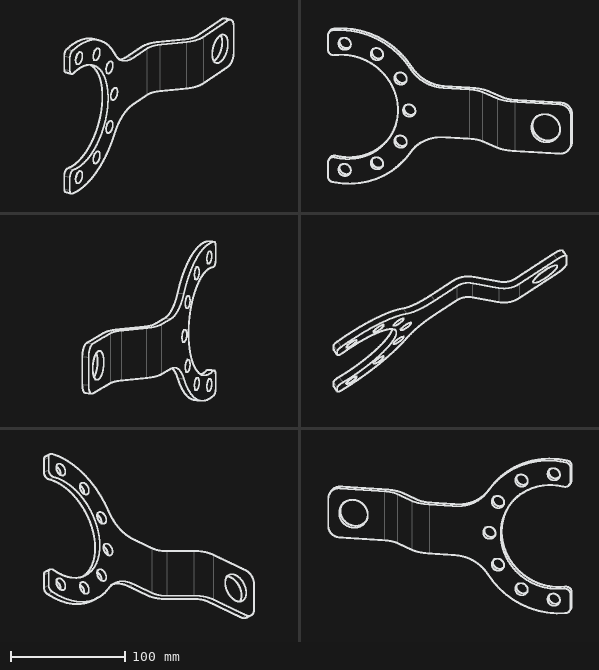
import cadquery as cq
import math

thickness = 6.0
total_width = 35.0
bend_angle = 45.0
inner_bend_radius = 18.0
outer_bend_radius = inner_bend_radius + thickness

ring_outer_radius = 70.0
ring_inner_radius = 47.5
fork_tip_reach = 15.0
fork_corner_radius = 5.0
bolt_circle_radius = 57.5
bolt_hole_diameter = 11.0
bolt_hole_count = 7
bolt_hole_spacing = 30.0

total_length = 222.5
arm_width = 45.0
arm_corner_radius = 10.0
neck_radius = 35.0
flat_end_length = 50.0
end_hole_diameter = 25.5
end_hole_inset = arm_width / 2

arm_end_y = total_length - fork_tip_reach
half_arm = arm_width / 2


def bent_strip():
    """Offset-bent strip: side profile in XY, as tall as the fork ring."""
    angle = math.radians(bend_angle)
    sin_a = math.sin(angle)
    cos_a = math.cos(angle)
    offset = total_width - thickness
    bend_radii = inner_bend_radius + outer_bend_radius
    slope_length = (offset - bend_radii * (1 - cos_a)) / sin_a
    upper_start_y = arm_end_y - flat_end_length
    lower_start_y = upper_start_y - bend_radii * sin_a - slope_length * cos_a

    lower_center = (outer_bend_radius, lower_start_y)
    upper_center = (offset - inner_bend_radius, upper_start_y)

    def on_lower(radius, turn):
        return (lower_center[0] - radius * math.cos(turn), lower_center[1] + radius * math.sin(turn))

    def on_upper(radius, turn):
        return (upper_center[0] + radius * math.cos(turn), upper_center[1] - radius * math.sin(turn))

    half_turn = angle / 2
    return (
        cq.Workplane("XY")
        .workplane(offset=-ring_outer_radius)
        .moveTo(0, -fork_tip_reach)
        .lineTo(*on_lower(outer_bend_radius, 0))
        .threePointArc(on_lower(outer_bend_radius, half_turn), on_lower(outer_bend_radius, angle))
        .lineTo(*on_upper(inner_bend_radius, angle))
        .threePointArc(on_upper(inner_bend_radius, half_turn), on_upper(inner_bend_radius, 0))
        .lineTo(offset, arm_end_y)
        .lineTo(total_width, arm_end_y)
        .lineTo(*on_upper(outer_bend_radius, 0))
        .threePointArc(on_upper(outer_bend_radius, half_turn), on_upper(outer_bend_radius, angle))
        .lineTo(*on_lower(inner_bend_radius, angle))
        .threePointArc(on_lower(inner_bend_radius, half_turn), on_lower(inner_bend_radius, 0))
        .lineTo(thickness, -fork_tip_reach)
        .close()
        .extrude(2 * ring_outer_radius)
    )


def fork_outline():
    """Flat outline of arm, neck and fork in YZ, extruded through the full X width."""
    neck_center_z = half_arm + neck_radius
    neck_center_y = math.sqrt((ring_outer_radius + neck_radius) ** 2 - neck_center_z**2)
    ring_share = ring_outer_radius / (ring_outer_radius + neck_radius)
    ring_touch_y = neck_center_y * ring_share
    ring_touch_z = neck_center_z * ring_share
    neck_mid_angle = (math.pi / 2 + math.atan2(neck_center_z, neck_center_y)) / 2
    neck_mid_y = neck_center_y - neck_radius * math.cos(neck_mid_angle)
    neck_mid_z = neck_center_z - neck_radius * math.sin(neck_mid_angle)

    tip_outer_z = math.sqrt(ring_outer_radius**2 - fork_tip_reach**2)
    tip_inner_z = math.sqrt(ring_inner_radius**2 - fork_tip_reach**2)

    outline = (
        cq.Workplane("YZ")
        .moveTo(arm_end_y, half_arm)
        .lineTo(neck_center_y, half_arm)
        .threePointArc((neck_mid_y, neck_mid_z), (ring_touch_y, ring_touch_z))
        .threePointArc((0, ring_outer_radius), (-fork_tip_reach, tip_outer_z))
        .lineTo(-fork_tip_reach, tip_inner_z)
        .threePointArc((ring_inner_radius, 0), (-fork_tip_reach, -tip_inner_z))
        .lineTo(-fork_tip_reach, -tip_outer_z)
        .threePointArc((0, -ring_outer_radius), (ring_touch_y, -ring_touch_z))
        .threePointArc((neck_mid_y, -neck_mid_z), (neck_center_y, -half_arm))
        .lineTo(arm_end_y, -half_arm)
        .close()
        .extrude(total_width)
    )
    outline = outline.faces(">Y").edges("|X").fillet(arm_corner_radius)
    return outline.faces("<Y").edges("|X").fillet(fork_corner_radius)


def bolt_holes():
    """Cutters for the bolt holes, spread evenly about the arm's centre line."""
    first_angle = -bolt_hole_spacing * (bolt_hole_count - 1) / 2
    points = []
    for index in range(bolt_hole_count):
        angle = math.radians(first_angle + index * bolt_hole_spacing)
        points.append((bolt_circle_radius * math.cos(angle), bolt_circle_radius * math.sin(angle)))
    return cq.Workplane("YZ").pushPoints(points).circle(bolt_hole_diameter / 2).extrude(total_width)


def end_hole():
    """Cutter for the large hole in the raised end of the arm."""
    center_y = arm_end_y - end_hole_inset
    return cq.Workplane("YZ").center(center_y, 0).circle(end_hole_diameter / 2).extrude(total_width)


result = bent_strip().intersect(fork_outline()).cut(bolt_holes()).cut(end_hole())